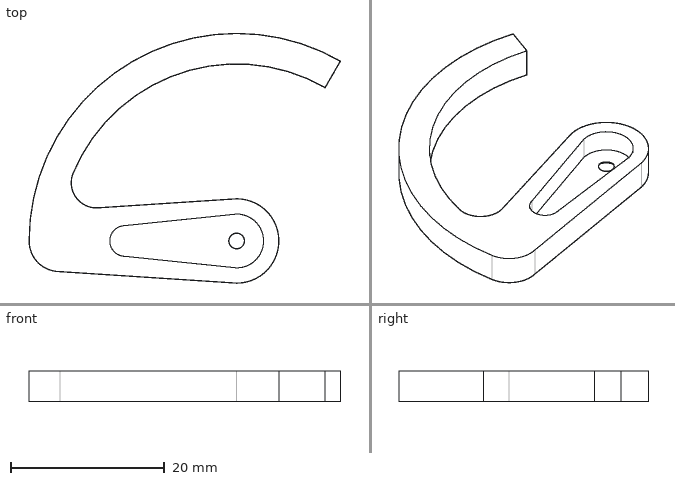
import cadquery as cq
import math

THICKNESS = 4.0
HOOK_OUTER_RADIUS = 27.0
HOOK_WIDTH = 4.0
HOOK_TIP_ANGLE = 60.0
HUB_RADIUS = 5.5
ELBOW_RADIUS = 4.0
INNER_FILLET_RADIUS = 3.25
RIM_WIDTH = 2.0
POCKET_SMALL_RADIUS = 2.0
POCKET_LENGTH = 14.5
POCKET_DEPTH = 3.0
HOLE_RADIUS = 1.0

HOOK_INNER_RADIUS = HOOK_OUTER_RADIUS - HOOK_WIDTH
POCKET_LARGE_RADIUS = HUB_RADIUS - RIM_WIDTH
ELBOW_OFFSET = HOOK_OUTER_RADIUS - ELBOW_RADIUS
FLOOR_THICKNESS = THICKNESS - POCKET_DEPTH
COUNTERSINK_RADIUS = HOLE_RADIUS + FLOOR_THICKNESS


def polar(radius, angle):
    """Point at the given radius and angle (radians) about the pivot."""
    return (radius * math.cos(angle), radius * math.sin(angle))


def make_body():
    """Hook and arm as one plate, following the outline clockwise from the elbow."""
    tip_angle = math.radians(HOOK_TIP_ANGLE)
    hook_mid_angle = (tip_angle + math.pi) / 2
    elbow_mid_angle = 5 * math.pi / 4
    elbow_mid_x, elbow_mid_y = polar(ELBOW_RADIUS, elbow_mid_angle)

    taper_angle = math.atan((HUB_RADIUS - ELBOW_RADIUS) / ELBOW_OFFSET)
    edge_normal_angle = math.pi / 2 + taper_angle
    edge_distance = HUB_RADIUS * math.cos(taper_angle)

    centre_radius = HOOK_INNER_RADIUS - INNER_FILLET_RADIUS
    fillet_angle = edge_normal_angle + math.acos((edge_distance + INNER_FILLET_RADIUS) / centre_radius)
    inner_mid_angle = (tip_angle + fillet_angle) / 2
    fillet_end_angle = edge_normal_angle + math.pi
    centre_x, centre_y = polar(centre_radius, fillet_angle)
    mid_x, mid_y = polar(INNER_FILLET_RADIUS, (fillet_angle + fillet_end_angle) / 2)
    end_x, end_y = polar(INNER_FILLET_RADIUS, fillet_end_angle)

    return (
        cq.Workplane("XY")
        .moveTo(-HOOK_OUTER_RADIUS, 0)
        .threePointArc(polar(HOOK_OUTER_RADIUS, hook_mid_angle), polar(HOOK_OUTER_RADIUS, tip_angle))
        .lineTo(*polar(HOOK_INNER_RADIUS, tip_angle))
        .threePointArc(polar(HOOK_INNER_RADIUS, inner_mid_angle), polar(HOOK_INNER_RADIUS, fillet_angle))
        .threePointArc((centre_x + mid_x, centre_y + mid_y), (centre_x + end_x, centre_y + end_y))
        .lineTo(0, HUB_RADIUS)
        .threePointArc((HUB_RADIUS, 0), (0, -HUB_RADIUS))
        .lineTo(-ELBOW_OFFSET, -ELBOW_RADIUS)
        .threePointArc((elbow_mid_x - ELBOW_OFFSET, elbow_mid_y), (-HOOK_OUTER_RADIUS, 0))
        .close()
        .extrude(THICKNESS)
    )


def make_pocket():
    """Teardrop pocket, open at the top face: two half circles joined by straight edges."""
    return (
        cq.Workplane("XY")
        .workplane(offset=FLOOR_THICKNESS)
        .moveTo(0, POCKET_LARGE_RADIUS)
        .lineTo(-POCKET_LENGTH, POCKET_SMALL_RADIUS)
        .threePointArc((-POCKET_LENGTH - POCKET_SMALL_RADIUS, 0), (-POCKET_LENGTH, -POCKET_SMALL_RADIUS))
        .lineTo(0, -POCKET_LARGE_RADIUS)
        .threePointArc((POCKET_LARGE_RADIUS, 0), (0, POCKET_LARGE_RADIUS))
        .close()
        .extrude(POCKET_DEPTH)
    )


def make_pivot_hole():
    """Round hole through the pocket floor, countersunk from the underside."""
    hole = cq.Workplane("XY").circle(HOLE_RADIUS).extrude(THICKNESS)
    countersink = (
        cq.Workplane("XY")
        .circle(COUNTERSINK_RADIUS)
        .workplane(offset=FLOOR_THICKNESS)
        .circle(HOLE_RADIUS)
        .loft()
    )
    return hole.union(countersink)


result = make_body().cut(make_pocket()).cut(make_pivot_hole())